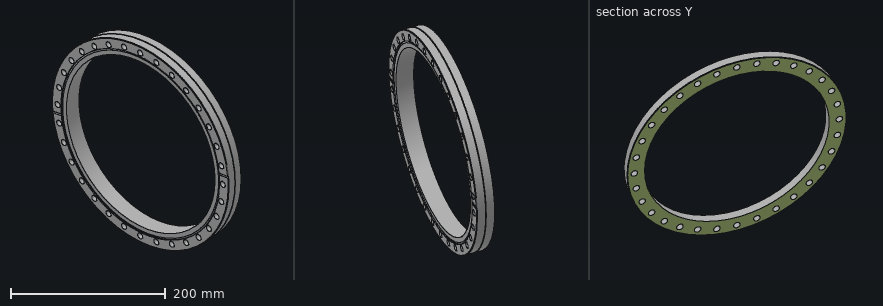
import cadquery as cq
import math

outer_diameter = 304.0
thickness = 25.8
bore_diameter = 255.0
rim_chamfer = 1.0

recess_diameter = 273.0
edge_diameter = 268.0
edge_depth = 1.0
recess_depth = 1.8

rim_groove_width = 1.0
rim_groove_depth = 0.45

bolt_count = 32
bolt_diameter = 8.5
bolt_circle_diameter = 284.0

channel_width = 2.5
channel_depth = 1.0
channel_overrun = 0.5
channel_angle = 180.0 / bolt_count

outer_radius = outer_diameter / 2
recess_radius = recess_diameter / 2
front_y = -thickness / 2
back_y = thickness / 2


def make_ring():
    """Revolve the ring section (radius, y) about the Y axis."""
    bore_radius = bore_diameter / 2
    shoulder_radius = outer_radius - rim_chamfer
    groove_half = rim_groove_width / 2
    section = [
        (bore_radius, front_y + edge_depth),
        (edge_diameter / 2, front_y + edge_depth),
        (recess_radius, front_y + recess_depth),
        (recess_radius, front_y),
        (shoulder_radius, front_y),
        (outer_radius, front_y + rim_chamfer),
        (outer_radius, -groove_half),
        (outer_radius - rim_groove_depth, 0),
        (outer_radius, groove_half),
        (outer_radius, back_y - rim_chamfer),
        (shoulder_radius, back_y),
        (bore_radius, back_y),
    ]
    return cq.Workplane("XY").polyline(section).close().revolve(360, (0, 0, 0), (0, 1, 0))


def make_bolt_holes():
    """Through holes for the bolts, evenly spaced on the bolt circle."""
    return (
        cq.Workplane("XZ", origin=(0, back_y, 0))
        .polarArray(bolt_circle_diameter / 2, 0, 360, bolt_count)
        .circle(bolt_diameter / 2)
        .extrude(thickness)
    )


def make_channel(angle):
    """Round bar that cuts a radial channel from the recess out through the rim."""
    bar_radius = ((channel_width / 2) ** 2 + channel_depth**2) / (2 * channel_depth)
    bar_y = front_y + channel_depth - bar_radius
    start = recess_radius - channel_overrun
    end = outer_radius + channel_overrun
    direction = cq.Vector(math.cos(math.radians(angle)), 0, math.sin(math.radians(angle)))
    base = direction * start + cq.Vector(0, bar_y, 0)
    return cq.Workplane(cq.Solid.makeCylinder(bar_radius, end - start, base, direction))


result = make_ring()
for angle in (channel_angle, channel_angle + 180):
    result = result.cut(make_channel(angle))
result = result.cut(make_bolt_holes())